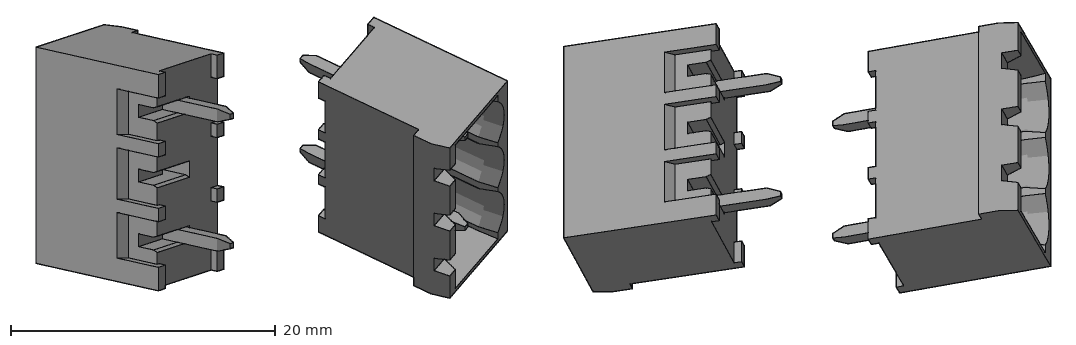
import cadquery as cq


height = 17.0
housing_length = 12.0
housing_top = 7.79
housing_back = 11.4
lower_rail_depth = 0.85
upper_rail_depth = 0.78

ridge_top = 8.5
ridge_length = 3.0
ridge_lead_length = 1.43
ridge_lead_drop = 0.39

pitch = 5.08
contact_offsets = (-pitch, 0.0, pitch)
pin_offsets = (-pitch, pitch)
pin_y = 3.91
pin_width = 1.0
pin_tip_width = 0.4
pin_tip_length = 1.0
pin_front = 1.19
pin_back = 16.0

cavity_low_y = 1.77
cavity_high_y = 6.92
cavity_height = 15.4
cavity_depth = 8.6
cavity_draft = 0.4
cavity_draft_length = 1.5
lobe_radius = 3.05

collar_base_radius = 1.25
collar_top_radius = 0.92
collar_height = 0.75

notch_depth = 1.19
notch_mouth_width = 1.8
notch_floor_width = 1.4

window_start = 7.94
window_slope_length = 0.66
window_recess = 0.6
rib_width = 1.05
window_row_height = 13.3

slot_start = 9.59
slot_flare_start = 11.05
slot_flare_width = 1.28


def block(x_range, y_range, z_range):
    """Box spanning the given (low, high) ranges."""
    lows, highs = zip(x_range, y_range, z_range)
    sizes = [high - low for low, high in zip(lows, highs)]
    return cq.Workplane("XY").box(*sizes, centered=False).translate(lows)


def frustum(x_start, start_size, x_end, end_size, y, z):
    """Solid tapering along X between two rectangles (Y size, Z size) centred on (y, z)."""
    return (
        cq.Workplane("YZ", origin=(x_start, y, z))
        .rect(*start_size)
        .workplane(offset=x_end - x_start)
        .rect(*end_size)
        .loft(combine=True)
    )


def window_ranges():
    """Z ranges of the three windows between the ribs."""
    rib_inner = (pitch - rib_width) / 2
    rib_outer = (pitch + rib_width) / 2
    row_end = window_row_height / 2
    return [(-row_end, -rib_outer), (-rib_inner, rib_inner), (rib_outer, row_end)]


def make_housing():
    outline = [
        (0, 0),
        (housing_length, 0),
        (housing_length, lower_rail_depth),
        (housing_back, lower_rail_depth),
        (housing_back, housing_top - upper_rail_depth),
        (housing_length, housing_top - upper_rail_depth),
        (housing_length, housing_top),
        (ridge_length, housing_top),
        (ridge_length, ridge_top),
        (ridge_lead_length, ridge_top),
        (0, ridge_top - ridge_lead_drop),
    ]
    return cq.Workplane("XY").polyline(outline).close().extrude(height / 2, both=True)


def make_lobe(z):
    """Round bulge of the cavity below its straight -Y wall, conical at the mouth."""
    profile = [
        (0, 0),
        (0, lobe_radius + cavity_draft),
        (cavity_draft_length, lobe_radius),
        (cavity_depth, lobe_radius),
        (cavity_depth, 0),
    ]
    round_bore = cq.Workplane("XY").polyline(profile).close().revolve(360, (0, 0, 0), (1, 0, 0))
    below_wall = block((0, cavity_depth), (0, cavity_low_y), (z - lobe_radius, z + lobe_radius))
    return round_bore.translate((0, pin_y, z)).intersect(below_wall)


def make_collar(z):
    return (
        cq.Workplane("YZ", origin=(cavity_depth, pin_y, z))
        .circle(collar_base_radius)
        .workplane(offset=-collar_height)
        .circle(collar_top_radius)
        .loft(combine=True)
    )


def make_cavity():
    cavity_y = (cavity_low_y + cavity_high_y) / 2
    floor_size = (cavity_high_y - cavity_low_y, cavity_height)
    mouth_size = [size + 2 * cavity_draft for size in floor_size]
    cavity = frustum(0, mouth_size, cavity_draft_length, floor_size, cavity_y, 0)
    cavity = cavity.union(frustum(cavity_draft_length, floor_size, cavity_depth, floor_size, cavity_y, 0))
    for z in contact_offsets:
        cavity = cavity.union(make_lobe(z))
    for z in contact_offsets:
        cavity = cavity.cut(make_collar(z))
    return cavity


def make_notch(z):
    """Notch through the +Y cavity wall, narrowing towards its floor."""
    outline = [
        (0, z - notch_mouth_width / 2),
        (notch_depth, z - notch_floor_width / 2),
        (notch_depth, z + notch_floor_width / 2),
        (0, z + notch_mouth_width / 2),
    ]
    notch = cq.Workplane("XZ", origin=(0, ridge_top, 0)).polyline(outline).close()
    return notch.extrude(ridge_top - cavity_high_y)


def make_window(z_range):
    """Recess in the -Y face with a sloped front end, open through both rails at the rear."""
    z_low, z_high = z_range
    outline = [
        (window_start, 0),
        (housing_length, 0),
        (housing_length, window_recess),
        (window_start + window_slope_length, window_recess),
    ]
    recess = cq.Workplane("XY", origin=(0, 0, z_low)).polyline(outline).close().extrude(z_high - z_low)
    return recess.union(block((housing_back, housing_length), (0, housing_top), z_range))


def make_contact_passage(z):
    """Square hole to the cavity plus the flared slot reaching it from the -Y side."""
    hole = frustum(0, (pin_width, pin_width), housing_length, (pin_width, pin_width), pin_y, z)
    outline = [
        (slot_start, z - pin_width / 2),
        (slot_flare_start, z - pin_width / 2),
        (housing_back, z - slot_flare_width / 2),
        (housing_back, z + slot_flare_width / 2),
        (slot_flare_start, z + pin_width / 2),
        (slot_start, z + pin_width / 2),
    ]
    slot_end = pin_y + pin_width / 2
    slot = cq.Workplane("XZ", origin=(0, slot_end, 0)).polyline(outline).close().extrude(slot_end)
    return hole.union(slot)


def make_pin(z):
    shank = (pin_width, pin_width)
    tip = (pin_tip_width, pin_tip_width)
    shank_front = pin_front + pin_tip_length
    shank_back = pin_back - pin_tip_length
    pin = frustum(shank_front, shank, shank_back, shank, pin_y, z)
    pin = pin.union(frustum(pin_front, tip, shank_front, shank, pin_y, z))
    return pin.union(frustum(shank_back, shank, pin_back, tip, pin_y, z))


result = make_housing().cut(make_cavity())
for window_range in window_ranges():
    result = result.cut(make_window(window_range))
for contact_z in contact_offsets:
    result = result.cut(make_notch(contact_z)).cut(make_contact_passage(contact_z))
for pin_z in pin_offsets:
    result = result.union(make_pin(pin_z))